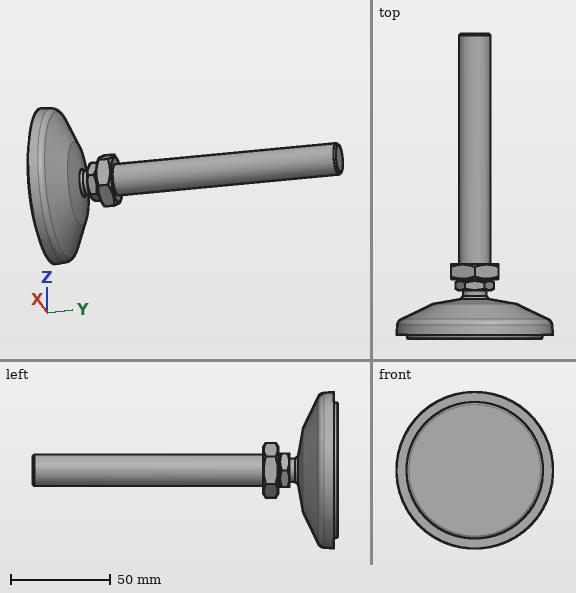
import cadquery as cq
import math


pad_top_radius = 34.4
pad_bottom_radius = 33.9
pad_thickness = 2.0
pad_edge_fillet = 1.0

cap_bottom = pad_thickness
rim_radius = 39.5
rim_lean = math.radians(5)
shoulder_height = 9.0
shoulder_radius = rim_radius - (shoulder_height - cap_bottom) * math.tan(rim_lean)
shoulder_fillet = 3.7
crown_radius = 21.1
crown_height = 17.6

flare_radius = 7.0
flare_bottom = 20.1
neck_radius = 6.0
neck_bottom = 21.6
wrench_width = 17.0
wrench_bottom = 24.3
wrench_thickness = 5.0
wrench_top = wrench_bottom + wrench_thickness
stud_radius = 8.0
stud_top = 153.7
stud_chamfer = 1.0

nut_width = 24.0
nut_thickness = 7.8
nut_clearance = 0.6
nut_bottom = wrench_top + nut_clearance

corner_angle = math.radians(30)
face_circle_ratio = 0.95


def cylinder(radius, bottom, top):
    """Cylinder on the Y axis between two heights."""
    base = cq.Workplane("XZ", origin=(0, bottom, 0))
    return base.circle(radius).extrude(bottom - top)


def revolve_about_y(profile):
    """Turn a (Z, Y) profile about the Y axis."""
    return profile.close().revolve(360, (0, 0, 0), (0, 1, 0))


def turning_plane():
    """Sketch plane whose local x is the radius along Z and local y is the height."""
    return cq.Workplane(cq.Plane(origin=(0, 0, 0), xDir=(0, 0, 1), normal=(-1, 0, 0)))


def hexagon(width, bottom, thickness, first_corner_angle):
    """Hexagonal prism on the Y axis with conically chamfered corners at both ends."""
    top = bottom + thickness
    corner_radius = width / math.sqrt(3)
    face_radius = face_circle_ratio * width / 2
    drop = (corner_radius - face_radius) * math.tan(corner_angle)
    prism = (
        cq.Workplane("XZ", origin=(0, bottom, 0))
        .polygon(6, 2 * corner_radius)
        .extrude(-thickness)
        .rotate((0, 0, 0), (0, 1, 0), first_corner_angle)
    )
    envelope = revolve_about_y(
        turning_plane()
        .moveTo(0, bottom)
        .lineTo(face_radius, bottom)
        .lineTo(corner_radius, bottom + drop)
        .lineTo(corner_radius, top - drop)
        .lineTo(face_radius, top)
        .lineTo(0, top)
    )
    return prism.intersect(envelope)


def make_pad():
    """Slightly tapered disc under the cap with a rounded bottom edge."""
    disc = revolve_about_y(
        turning_plane()
        .lineTo(pad_bottom_radius, 0)
        .lineTo(pad_top_radius, pad_thickness)
        .lineTo(0, pad_thickness)
    )
    return disc.faces("<Y").edges().fillet(pad_edge_fillet)


def make_cap():
    """Bell-shaped cap: rim, rounded shoulder, steep cone and shallow crown."""
    bell = revolve_about_y(
        turning_plane()
        .moveTo(0, cap_bottom)
        .lineTo(rim_radius, cap_bottom)
        .lineTo(shoulder_radius, shoulder_height)
        .lineTo(crown_radius, crown_height)
        .lineTo(flare_radius, flare_bottom)
        .lineTo(0, flare_bottom)
    )
    shoulder_center = (0, shoulder_height, 0)
    shoulder_edge = bell.edges(cq.selectors.NearestToPointSelector(shoulder_center))
    return shoulder_edge.fillet(shoulder_fillet)


def make_spindle():
    """Flared neck, wrench hexagon with corners along X, and long stud."""
    neck = revolve_about_y(
        turning_plane()
        .moveTo(0, flare_bottom)
        .lineTo(flare_radius, flare_bottom)
        .lineTo(neck_radius, neck_bottom)
        .lineTo(neck_radius, wrench_bottom)
        .lineTo(0, wrench_bottom)
    )
    wrench = hexagon(wrench_width, wrench_bottom, wrench_thickness, 0)
    stud = cylinder(stud_radius, wrench_top, stud_top).faces(">Y").edges().chamfer(stud_chamfer)
    return neck.union(wrench).union(stud)


def make_nut():
    """Jam nut on the stud, with corners along Z."""
    blank = hexagon(nut_width, nut_bottom, nut_thickness, 90)
    return blank.cut(cylinder(stud_radius, nut_bottom, nut_bottom + nut_thickness))


pad = make_pad()
cap = make_cap()
spindle = make_spindle()
nut = make_nut()

result = cq.Compound.makeCompound([pad.val(), cap.val(), spindle.val(), nut.val()])